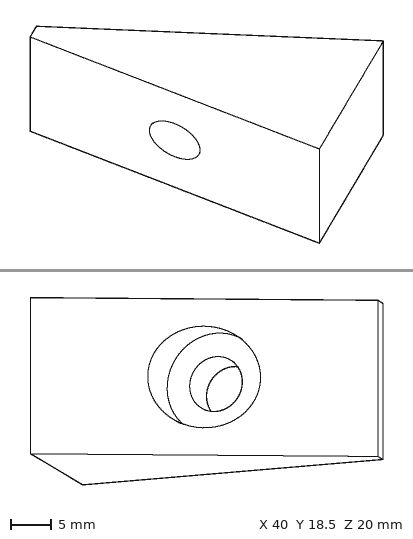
import cadquery as cq

length = 40.0
deep_end = 18.5
height = 20.0
thin_end = 1.85

hole_diameter = 7.0
head_diameter = 13.0
seat_thickness = 6.0


def wedge():
    """Wedge with its flat face on Y = 0, tapering towards X = 0."""
    outline = [(0, 0), (length, 0), (length, deep_end), (0, thin_end)]
    return cq.Workplane("XY").polyline(outline).close().extrude(height)


def bore(diameter, start):
    """Cylinder along +Y through the wedge centre, starting at Y = start."""
    centre_start = cq.Vector(length / 2, start, height / 2)
    along_y = cq.Vector(0, 1, 0)
    return cq.Workplane(cq.Solid.makeCylinder(diameter / 2, deep_end, centre_start, along_y))


result = wedge().cut(bore(hole_diameter, 0)).cut(bore(head_diameter, seat_thickness))